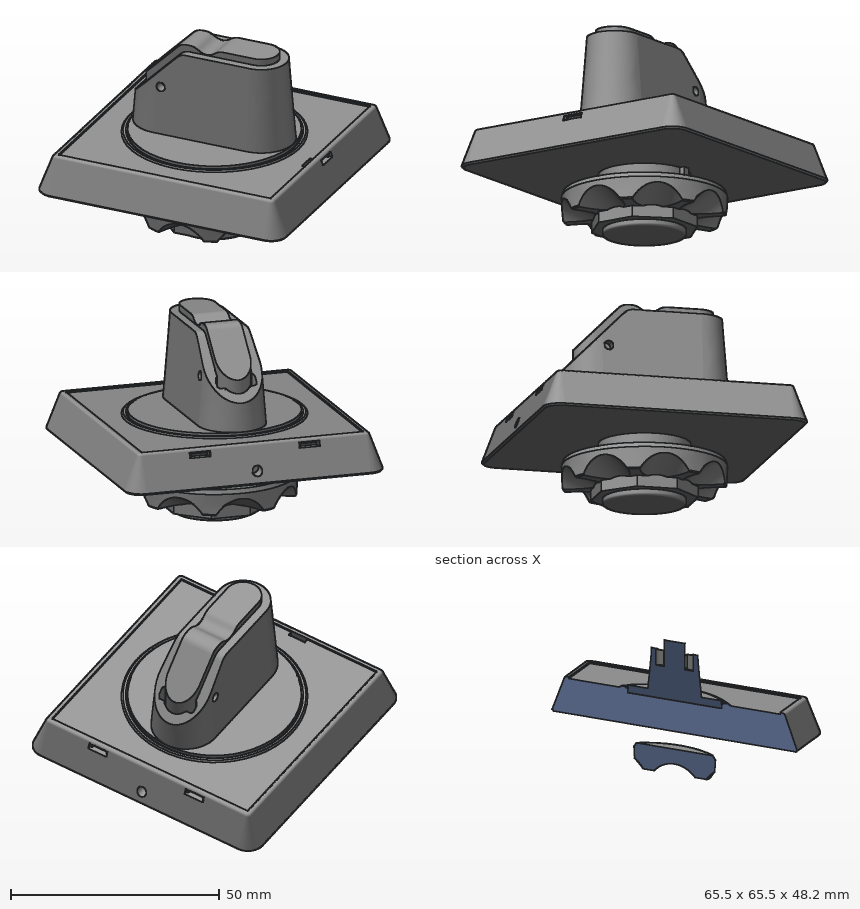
import cadquery as cq
import math


PLATE_SIDE = 65.45
PLATE_CORNER_RADIUS = 4.25
PLATE_HEIGHT = 9.5
PLATE_FOOT_CHAMFER = 0.45
PLATE_TAPER = 20.7
PLATE_TOP_FILLET = 0.8
PANEL_SIDE = 56.3
PANEL_Z = 9.1
RING_OUTER_RADIUS = 22.4
RING_OUTER_BEVEL = 0.4
RING_INNER_BEVEL = 0.45
NOTCH_LENGTH = 4.6
NOTCH_WIDTH = 1.1
NOTCH_DEPTH = 1.3
NOTCH_Y = -5.75

CLIP_SLOT_LENGTH = 5.25
CLIP_SLOT_BOTTOM_Z = 7.45
CLIP_SLOT_HEIGHT = 1.25
CLIP_SLOT_END_X = 29.25
CLIP_POCKET_LENGTH = 4.05
CLIP_POCKET_DEPTH = 0.8
CLIP_POCKET_HEIGHT = 0.85
CLIP_SLOT_Y = 13.9
SIDE_HOLE_RADIUS = 1.25
SIDE_HOLE_Z = 3.2
SIDE_HOLE_END_X = 28.8

NECK_RADIUS = 11.1
THREAD_RADIUS = 10.1
THREAD_END_Z = -15.05
THREAD_END_FILLET = 0.6
KEY_REACH = 12.4
KEY_WIDTH = 1.95
KEY_HEIGHT = 3.0
NUT_TOP_Z = -4.45
NUT_WIDEST_Z = -5.55
NUT_FLANGE_BOTTOM_Z = -10.9
NUT_BOTTOM_Z = -13.6
NUT_TOP_RADIUS = 19.6
NUT_RADIUS = 19.95
NUT_LOWER_RADIUS = 19.75
NUT_LOWER_BEVEL = 0.3
NUT_SIDES = 8
NUT_ACROSS_FLATS = 24.1
SCALLOP_RADIUS = 7.5
SCALLOP_TILT = 24.5
SCALLOP_RIM_Z = -6.9

DISC_RADIUS = 20.9
DISC_BOTTOM_Z = 8.05
DISC_TOP_Z = 10.0
HUB_RADIUS = 9.6
HUB_BOTTOM_Z = 3.3
GRIP_CENTRES = 24.9
GRIP_RADIUS = 8.4
GRIP_TOP_Z = 31.4
GRIP_TAPER = 4.55
GRIP_SLOPE_X = -5.9
GRIP_EDGE_FILLET = 3.4
CROSS_HOLE_RADIUS = 1.1
CROSS_HOLE_X = -10.8
CROSS_HOLE_Z = 22.05
CROSS_HOLE_FLOOR_Y = 4.45

SLIDE_RADIUS = 4.45
SLIDE_REAR_X = 12.45
SLIDE_FRONT_X = -13.2
SLIDE_TOP_Z = 33.1
SLIDE_SLOPE_X = -6.7
SLIDE_EDGE_FILLET = 3.3
DIP_HALF_LENGTH = 4.45
DIP_DEPTH = 1.5
FRONT_GAP = 0.7
FRONT_GAP_FLOOR_Z = 16.35
EAR_FRONT_X = -17.1
EAR_REAR_X = -14.8
EAR_REACH = 5.05
EAR_CORNER_RADIUS = 0.8


def cylinder(radius, bottom_z, top_z):
    """Upright cylinder on the switch axis."""
    return cq.Workplane("XY").workplane(offset=bottom_z).circle(radius).extrude(top_z - bottom_z)


def upright_box(x_range, y_range, z_range):
    """Box between pairs of coordinates."""
    (x0, x1), (y0, y1), (z0, z1) = x_range, y_range, z_range
    return cq.Workplane("XY").box(x1 - x0, y1 - y0, z1 - z0, centered=False).translate((x0, y0, z0))


def stadium(front_x, rear_x, radius, bottom_z, height, taper=0.0):
    """Upright prism with two round ends centred at front_x and rear_x."""
    return (
        cq.Workplane("XY")
        .workplane(offset=bottom_z)
        .moveTo(front_x, -radius)
        .lineTo(rear_x, -radius)
        .threePointArc((rear_x + radius, 0), (rear_x, radius))
        .lineTo(front_x, radius)
        .threePointArc((front_x - radius, 0), (front_x, -radius))
        .close()
        .extrude(height, taper=taper)
    )


def plate_blank():
    """Square plate with rounded corners, tapering towards its top."""
    foot = (
        cq.Workplane("XY")
        .rect(PLATE_SIDE, PLATE_SIDE)
        .extrude(PLATE_FOOT_CHAMFER)
        .edges("|Z")
        .fillet(PLATE_CORNER_RADIUS)
    )
    upper = (
        foot.faces(">Z").wires().toPending().workplane()
        .extrude(PLATE_HEIGHT - PLATE_FOOT_CHAMFER, combine=False, taper=PLATE_TAPER)
    )
    upper = upper.faces(">Z").edges().fillet(PLATE_TOP_FILLET)
    bevel = (
        foot.faces(">Z").wires().toPending().workplane()
        .extrude(-PLATE_FOOT_CHAMFER, combine=False, taper=45)
    )
    return upper.union(bevel)


def raised_ring():
    """Bevelled ring round the opening in which the handle turns."""
    inner_top = DISC_RADIUS + RING_INNER_BEVEL
    outer_top = RING_OUTER_RADIUS - RING_OUTER_BEVEL
    return (
        cq.Workplane("XZ")
        .polyline([
            (DISC_RADIUS, DISC_BOTTOM_Z),
            (DISC_RADIUS, PLATE_HEIGHT - RING_INNER_BEVEL),
            (inner_top, PLATE_HEIGHT),
            (outer_top, PLATE_HEIGHT),
            (RING_OUTER_RADIUS, PANEL_Z),
            (RING_OUTER_RADIUS, DISC_BOTTOM_Z),
        ])
        .close()
        .revolve(360, (0, 0, 0), (0, 1, 0))
    )


def clip_slot(side, centre_y):
    """Slot into the plate's +X (side = 1) or -X (side = -1) flank, with a wedge pocket behind it."""
    ends = sorted((side * CLIP_SLOT_END_X, side * PLATE_SIDE / 2))
    half = CLIP_SLOT_LENGTH / 2
    top_z = CLIP_SLOT_BOTTOM_Z + CLIP_SLOT_HEIGHT
    slot = upright_box(ends, (centre_y - half, centre_y + half), (CLIP_SLOT_BOTTOM_Z, top_z))
    pocket = (
        cq.Workplane("XZ")
        .polyline([
            (side * CLIP_SLOT_END_X, CLIP_SLOT_BOTTOM_Z),
            (side * CLIP_SLOT_END_X, CLIP_SLOT_BOTTOM_Z + CLIP_POCKET_HEIGHT),
            (side * (CLIP_SLOT_END_X - CLIP_POCKET_DEPTH), CLIP_SLOT_BOTTOM_Z),
        ])
        .close()
        .extrude(CLIP_POCKET_LENGTH / 2, both=True)
        .translate((0, centre_y, 0))
    )
    return slot.union(pocket)


def neck():
    """Locating neck with its key, stepped down to the thread that carries the nut."""
    shank = cylinder(THREAD_RADIUS, THREAD_END_Z, NUT_TOP_Z).faces("<Z").edges().fillet(THREAD_END_FILLET)
    collar = cylinder(NECK_RADIUS, NUT_TOP_Z, PLATE_FOOT_CHAMFER)
    key = upright_box(
        (-KEY_WIDTH / 2, KEY_WIDTH / 2), (0, KEY_REACH), (-KEY_HEIGHT, PLATE_FOOT_CHAMFER)
    )
    return shank.union(collar).union(key)


def make_plate():
    plate = plate_blank()
    panel = cq.Workplane("XY").workplane(offset=PANEL_Z).rect(PANEL_SIDE, PANEL_SIDE)
    plate = plate.cut(panel.extrude(PLATE_HEIGHT))
    plate = plate.cut(cylinder(DISC_RADIUS, DISC_BOTTOM_Z, PLATE_HEIGHT))
    plate = plate.cut(cylinder(HUB_RADIUS, HUB_BOTTOM_Z, DISC_BOTTOM_Z)).union(raised_ring())

    notch_end = PANEL_SIDE / 2
    plate = plate.cut(upright_box(
        (notch_end - NOTCH_WIDTH, notch_end),
        (NOTCH_Y - NOTCH_LENGTH / 2, NOTCH_Y + NOTCH_LENGTH / 2),
        (PANEL_Z - NOTCH_DEPTH, PLATE_HEIGHT),
    ))
    for side, centre_y in ((-1, -CLIP_SLOT_Y), (-1, CLIP_SLOT_Y), (1, 0)):
        plate = plate.cut(clip_slot(side, centre_y))

    side_hole = (
        cq.Workplane("YZ")
        .workplane(offset=-PLATE_SIDE / 2)
        .center(0, SIDE_HOLE_Z)
        .circle(SIDE_HOLE_RADIUS)
        .extrude(PLATE_SIDE / 2 - SIDE_HOLE_END_X)
    )
    return plate.cut(side_hole).union(neck())


def nut_flange():
    """Conical flange whose finger scallops are cut by tilted cylinders."""
    flange = (
        cq.Workplane("XZ")
        .polyline([
            (0, NUT_TOP_Z),
            (NUT_TOP_RADIUS, NUT_TOP_Z),
            (NUT_RADIUS, NUT_WIDEST_Z),
            (NUT_LOWER_RADIUS, NUT_FLANGE_BOTTOM_Z + NUT_LOWER_BEVEL),
            (NUT_LOWER_RADIUS - NUT_LOWER_BEVEL, NUT_FLANGE_BOTTOM_Z),
            (0, NUT_FLANGE_BOTTOM_Z),
        ])
        .close()
        .revolve(360, (0, 0, 0), (0, 1, 0))
    )
    tilt = math.radians(SCALLOP_TILT)
    inward = cq.Vector(-math.cos(tilt), 0, -math.sin(tilt))
    rim_point = cq.Vector(NUT_RADIUS, 0, SCALLOP_RIM_Z)
    axis_point = rim_point + cq.Vector(math.sin(tilt), 0, -math.cos(tilt)) * SCALLOP_RADIUS
    start = axis_point - inward * SCALLOP_RADIUS
    scallop = cq.Solid.makeCylinder(SCALLOP_RADIUS, NUT_RADIUS, start, inward)
    for i in range(NUT_SIDES):
        angle = i * 360 / NUT_SIDES
        flange = flange.cut(cq.Workplane(scallop.rotate(cq.Vector(), cq.Vector(0, 0, 1), angle)))
    return flange


def make_nut():
    across_corners = NUT_ACROSS_FLATS / math.cos(math.pi / NUT_SIDES)
    wrench_part = (
        cq.Workplane("XY")
        .workplane(offset=NUT_BOTTOM_Z)
        .transformed(rotate=(0, 0, 180 / NUT_SIDES))
        .polygon(NUT_SIDES, across_corners)
        .extrude(NUT_TOP_Z - NUT_BOTTOM_Z)
    )
    bore = cylinder(THREAD_RADIUS, NUT_BOTTOM_Z, NUT_TOP_Z)
    return nut_flange().union(wrench_part).cut(bore)


def handle_disc():
    """Turning disc with a round hub below it."""
    return cylinder(DISC_RADIUS, DISC_BOTTOM_Z, DISC_TOP_Z).union(
        cylinder(HUB_RADIUS, HUB_BOTTOM_Z, DISC_BOTTOM_Z)
    )


def under_slope(slope_x, top_z, edge_fillet):
    """Space below a top plane that falls at 45 degrees towards -X, with its edge rounded."""
    reach = 2 * DISC_RADIUS
    profile = (
        cq.Workplane("XZ")
        .polyline([
            (slope_x, top_z),
            (reach, top_z),
            (reach, top_z - reach),
            (slope_x - reach, top_z - reach),
        ])
        .close()
        .extrude(DISC_RADIUS, both=True)
    )
    return profile.edges(cq.NearestToPointSelector((slope_x, 0, top_z))).fillet(edge_fillet)


def thumb_dip():
    """Shallow dip across the slide: a concave bottom between two rounded shoulders."""
    mid_x = DIP_HALF_LENGTH / 2
    mid_z = SLIDE_TOP_Z - DIP_DEPTH / 2
    right_side = (
        cq.Workplane("XZ")
        .moveTo(-mid_x, mid_z)
        .threePointArc((0, SLIDE_TOP_Z - DIP_DEPTH), (mid_x, mid_z))
        .tangentArcPoint((DIP_HALF_LENGTH, SLIDE_TOP_Z), relative=False)
        .lineTo(-mid_x, SLIDE_TOP_Z)
        .close()
        .extrude(SLIDE_RADIUS, both=True)
    )
    return right_side.union(right_side.mirror("YZ"))


def slide():
    blank = stadium(SLIDE_FRONT_X, SLIDE_REAR_X, SLIDE_RADIUS, DISC_TOP_Z, SLIDE_TOP_Z - DISC_TOP_Z)
    return blank.intersect(under_slope(SLIDE_SLOPE_X, SLIDE_TOP_Z, SLIDE_EDGE_FILLET)).cut(thumb_dip())


def front_gap():
    """Clearance round the front end of the slide, with an ear at each side."""
    height = GRIP_TOP_Z - FRONT_GAP_FLOOR_Z
    gap = stadium(SLIDE_FRONT_X - FRONT_GAP, SLIDE_REAR_X, SLIDE_RADIUS, FRONT_GAP_FLOOR_Z, height)
    ears = upright_box(
        (EAR_FRONT_X, EAR_REAR_X), (-EAR_REACH, EAR_REACH), (FRONT_GAP_FLOOR_Z, GRIP_TOP_Z)
    ).edges("|Z").fillet(EAR_CORNER_RADIUS)
    slide_core = stadium(SLIDE_FRONT_X, SLIDE_REAR_X, SLIDE_RADIUS, FRONT_GAP_FLOOR_Z, height)
    return gap.union(ears).cut(slide_core)


def make_handle():
    half_centres = GRIP_CENTRES / 2
    grip = stadium(
        -half_centres, half_centres, GRIP_RADIUS, DISC_TOP_Z, GRIP_TOP_Z - DISC_TOP_Z, GRIP_TAPER
    )
    grip = grip.intersect(under_slope(GRIP_SLOPE_X, GRIP_TOP_Z, GRIP_EDGE_FILLET))
    grip = grip.cut(front_gap()).union(slide())
    cross_holes = (
        cq.Workplane("XZ")
        .center(CROSS_HOLE_X, CROSS_HOLE_Z)
        .circle(CROSS_HOLE_RADIUS)
        .extrude(GRIP_RADIUS, both=True)
    )
    core = upright_box(
        (-half_centres, half_centres), (-CROSS_HOLE_FLOOR_Y, CROSS_HOLE_FLOOR_Y), (DISC_TOP_Z, GRIP_TOP_Z)
    )
    return handle_disc().union(grip.cut(cross_holes.cut(core)))


plate = make_plate()
nut = make_nut()
handle = make_handle()
result = cq.Compound.makeCompound([*plate.solids().vals(), *nut.solids().vals(), *handle.solids().vals()])